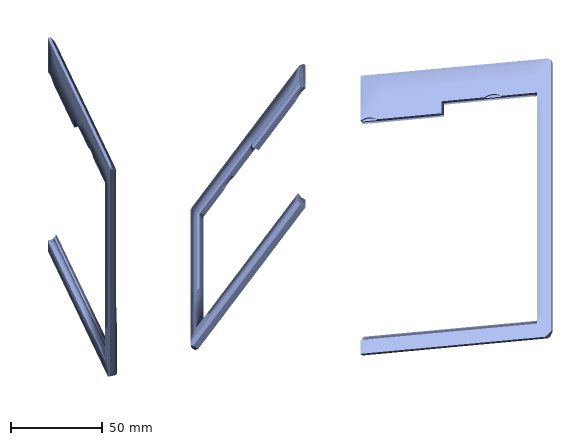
import cadquery as cq
import math

width = 110.0
height = 159.5
thin_depth = 4.3
thick_depth = 5.3

column_inner_x = 101.8
lower_bar_top = 8.0
upper_bar_bottom = 140.5
tab_bottom = 133.7
tab_width = 46.9

top_corner_radius = 2.5
bottom_corner_chamfer = 3.2

ramp_top = 54.9
ramp_bottom = 29.5

top_bevel_run = 4.6
top_bevel_drop = 2.9
side_bevel_run = 3.0
side_bevel_drop = 2.9
bottom_bevel_run = 1.9
bottom_bevel_drop = 1.9
corner_facet_width = 3.2
corner_facet_depth = 0.6

lip_front = 3.4
lip_reach = 1.04
rail_step = 1.52

scallop_width = 9.4
scallop_rise = 1.5
scallop_depth = 1.6
tab_scallop_x = 4.8
bar_scallop_x = 76.3

overcut = 1.6


def extrude_along_x(points, x_start, x_end):
    """Prism with a (Y, Z) section running from x_start to x_end."""
    return cq.Workplane("YZ", origin=(x_start, 0, 0)).polyline(points).close().extrude(x_end - x_start)


def extrude_along_z(points, z_start, z_end):
    """Prism with an (X, Y) section running from z_start to z_end."""
    return cq.Workplane("XY", origin=(0, 0, z_start)).polyline(points).close().extrude(z_end - z_start)


def make_frame():
    """C-shaped frame at full depth, with a wide tab on the upper bar."""
    return (
        cq.Workplane("XZ")
        .lineTo(width - bottom_corner_chamfer, 0)
        .lineTo(width, bottom_corner_chamfer)
        .lineTo(width, height - top_corner_radius)
        .radiusArc((width - top_corner_radius, height), -top_corner_radius)
        .lineTo(0, height)
        .lineTo(0, tab_bottom)
        .lineTo(tab_width, tab_bottom)
        .lineTo(tab_width, upper_bar_bottom)
        .lineTo(column_inner_x, upper_bar_bottom)
        .lineTo(column_inner_x, lower_bar_top)
        .lineTo(0, lower_bar_top)
        .close()
        .extrude(-thick_depth)
    )


def make_back_relief():
    """Material behind the thin upper frame, down to the foot of the ramp."""
    section = [
        (thick_depth, ramp_bottom),
        (thin_depth, ramp_top),
        (thin_depth, height + overcut),
        (thick_depth + overcut, height + overcut),
        (thick_depth + overcut, ramp_bottom),
    ]
    return extrude_along_x(section, -overcut, width + overcut)


def make_top_bevel():
    """Wedge along the back edge of the upper bar."""
    section = [
        (thin_depth, height - top_bevel_run),
        (thin_depth - top_bevel_drop, height),
        (thin_depth, height),
    ]
    return extrude_along_x(section, 0, width)


def make_bottom_bevel():
    """Wedge along the back edge of the lower bar."""
    section = [
        (thick_depth, bottom_bevel_run),
        (thick_depth - bottom_bevel_drop, 0),
        (thick_depth, 0),
    ]
    return extrude_along_x(section, 0, width)


def make_side_bevel():
    """Wedge along the outer back edge of the column."""
    section = [
        (width - side_bevel_run, thick_depth),
        (width, thick_depth - side_bevel_drop),
        (width, thick_depth),
    ]
    return extrude_along_z(section, 0, height)


def make_corner_facet():
    """Wedge that lowers the right-hand end of the top bevel toward the side bevel."""
    bevel_length = math.hypot(top_bevel_run, top_bevel_drop)
    bevel_start = cq.Plane(
        origin=(width, thin_depth, height - top_bevel_run),
        xDir=(1, 0, 0),
        normal=(0, -top_bevel_drop, top_bevel_run),
    )
    section = [(-corner_facet_width, 0), (0, -corner_facet_depth), (0, 0)]
    return (
        cq.Workplane(bevel_start)
        .polyline(section)
        .close()
        .extrude(bevel_length + overcut, both=True)
    )


def make_hanging_lip(edge_z, x_start, x_end):
    """Lip below a horizontal edge, flat in front and tapered at the back."""
    section = [
        (lip_front, edge_z),
        (lip_front, edge_z - lip_reach),
        (thin_depth, edge_z),
    ]
    return extrude_along_x(section, x_start, x_end)


def make_column_lip():
    """Lip on the inner side of the column, ending where the ramp begins."""
    section = [
        (column_inner_x, lip_front),
        (column_inner_x - lip_reach, lip_front),
        (column_inner_x, thin_depth),
    ]
    return extrude_along_z(section, ramp_top, upper_bar_bottom)


def make_rail():
    """Two-step rail on top of the lower bar, tapered at the back."""
    section = [
        (lip_front, lower_bar_top),
        (lip_front, lower_bar_top + rail_step),
        (thin_depth, lower_bar_top + rail_step),
        (thin_depth, lower_bar_top + 2 * rail_step),
        (thick_depth, lower_bar_top + 2 * rail_step - lip_reach),
        (thick_depth, lower_bar_top),
    ]
    return extrude_along_x(section, 0, column_inner_x)


def make_scallop(center_x, edge_z):
    """Shallow arched cut above an edge, in the front face."""
    half_width = scallop_width / 2
    return (
        cq.Workplane("XZ")
        .moveTo(center_x - half_width, edge_z)
        .threePointArc((center_x, edge_z + scallop_rise), (center_x + half_width, edge_z))
        .close()
        .extrude(-scallop_depth)
    )


frame = make_frame().cut(make_back_relief())
for bevel in (make_top_bevel(), make_side_bevel(), make_bottom_bevel(), make_corner_facet()):
    frame = frame.cut(bevel)

lips = (
    make_hanging_lip(tab_bottom, 0, tab_width),
    make_hanging_lip(upper_bar_bottom, tab_width, column_inner_x),
    make_column_lip(),
    make_rail(),
)
for lip in lips:
    frame = frame.union(lip)

frame = frame.cut(make_scallop(tab_scallop_x, tab_bottom))
result = frame.cut(make_scallop(bar_scallop_x, upper_bar_bottom))